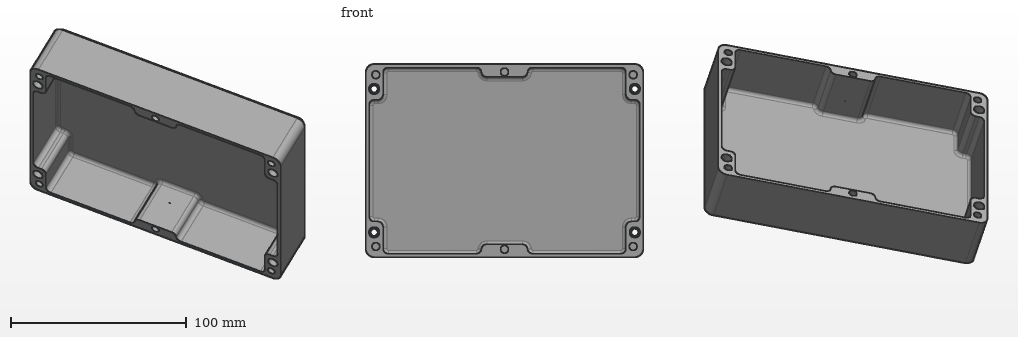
import cadquery as cq
import math

length = 158.0
depth = 34.0
height = 110.0
corner_radius = 5.0
back_chamfer = 2.0

wall = 2.0
floor_thickness = 3.0
bend_radius = 3.0
floor_fillet = 2.0

corner_boss_width = 10.0
corner_boss_height = 20.4
middle_boss_height = 7.5
middle_boss_top_width = 20.2

screw_diameter = 4.5
screw_depth = 19.0
corner_screw_inset_x = 5.8
corner_screw_inset_z = 6.2
middle_screw_inset_z = 4.6
mount_diameter = 4.0
mount_bore_diameter = 6.0
mount_seat_thickness = 5.0
mount_bore_depth = depth - mount_seat_thickness
mount_inset_x = 4.9
mount_inset_z = 14.2

half_length = length / 2
half_height = height / 2


def rim_plane():
    """Plane of the open rim; negative extrusions run into the box, toward +Y."""
    return cq.Workplane("XZ")


def corner_points(inset_x, inset_z):
    """Four mirrored points, inset from the outer corners."""
    x = half_length - inset_x
    z = half_height - inset_z
    return [(x, z), (-x, z), (-x, -z), (x, -z)]


def make_body():
    body = rim_plane().rect(length, height).extrude(-depth)
    body = body.edges("|Y").fillet(corner_radius)
    return body.faces(">Y").edges().chamfer(back_chamfer)


def make_corner_bosses():
    """Four blocks centred on the outer corners, so half of each width and height lies in the box."""
    return (
        rim_plane()
        .pushPoints(corner_points(0, 0))
        .rect(2 * corner_boss_width, 2 * corner_boss_height)
        .extrude(-depth)
    )


def make_middle_boss():
    """Boss at the middle of the top wall, with an S-shaped flank of two equal arcs on each side."""
    wall_z = half_height - wall
    top_z = half_height - middle_boss_height
    middle_z = (wall_z + top_z) / 2
    half_rise = (wall_z - top_z) / 2
    half_run = math.sqrt(bend_radius**2 - (bend_radius - half_rise) ** 2)
    top_x = middle_boss_top_width / 2
    middle_x = top_x + half_run
    wall_x = middle_x + half_run
    return (
        rim_plane()
        .moveTo(-wall_x, half_height)
        .lineTo(-wall_x, wall_z)
        .radiusArc((-middle_x, middle_z), bend_radius)
        .radiusArc((-top_x, top_z), -bend_radius)
        .lineTo(top_x, top_z)
        .radiusArc((middle_x, middle_z), -bend_radius)
        .radiusArc((wall_x, wall_z), bend_radius)
        .lineTo(wall_x, half_height)
        .close()
        .extrude(-depth)
    )


def make_cavity():
    cavity = rim_plane().rect(length - 2 * wall, height - 2 * wall).extrude(floor_thickness - depth)
    cavity = cavity.cut(make_corner_bosses())
    cavity = cavity.edges("|Y").fillet(bend_radius)
    top_boss = make_middle_boss()
    cavity = cavity.cut(top_boss).cut(top_boss.mirror("XY"))
    return cavity.faces(">Y").edges().fillet(floor_fillet)


def make_holes(points, diameter, hole_depth):
    """Round cutters that start at the rim."""
    return rim_plane().pushPoints(points).circle(diameter / 2).extrude(-hole_depth)


middle_screw_z = half_height - middle_screw_inset_z
screw_points = corner_points(corner_screw_inset_x, corner_screw_inset_z)
screw_points += [(0, middle_screw_z), (0, -middle_screw_z)]
mount_points = corner_points(mount_inset_x, mount_inset_z)

result = (
    make_body()
    .cut(make_cavity())
    .cut(make_holes(screw_points, screw_diameter, screw_depth))
    .cut(make_holes(mount_points, mount_diameter, depth))
    .cut(make_holes(mount_points, mount_bore_diameter, mount_bore_depth))
)